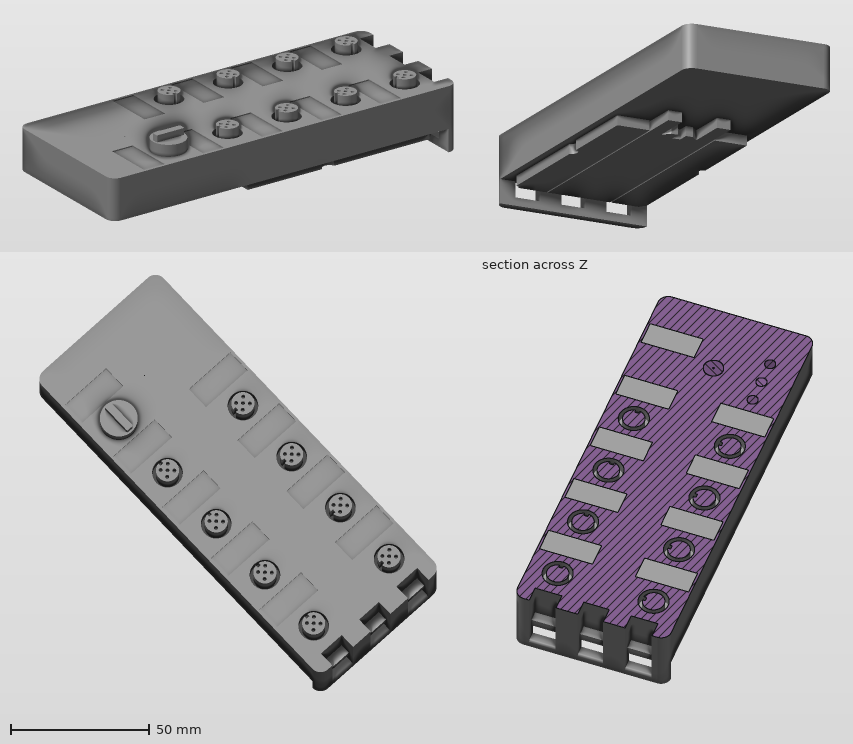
import cadquery as cq


length = 152.0
width = 59.6
height = 16.9
overall_height = 33.6
corner_radius = 4.0
flange_drop = 9.3
flange_thickness = corner_radius
end_y = length / 2

column_x = 18.5
first_row_y = 60.5
row_pitch = 26.0
socket_rows = 4
socket_ys = [first_row_y - row * row_pitch for row in range(socket_rows)]
knob_y = first_row_y - socket_rows * row_pitch

socket_diameter = 8.4
moat_diameter = 11.1
moat_depth = 4.5
socket_rise = 3.3
contact_diameter = 1.45
contact_spacing = 3.5
contact_offset = contact_spacing / 2
contact_depth = 3.0
key_width = 1.4
key_inner_radius = 3.0

label_length = 20.4
label_width = 9.1
label_depth = 0.5
label_drop = 13.2

knob_diameter = 13.7
knob_height = 4.7
grip_width = 2.9
grip_length = 12.2
grip_height = overall_height - flange_drop - height - knob_height
grip_corner_radius = 0.5

light_diameter = 3.8
light_pitch = 9.0
light_middle_y = -49.9
light_count = 3
disc_diameter = 7.1
inlay_depth = 1.5
disc_dot_diameter = 0.5
light_ys = [light_middle_y + (i - (light_count - 1) / 2) * light_pitch for i in range(light_count)]

side_notch_width = 10.2
middle_notch_width = 9.7
notch_length = 6.1
lip_length = 2.3
lip_round_radius = 0.9
crest_z = -6.1
shelf_z = 3.0
shelf_sag = 0.5
notches = [
    (-column_x, side_notch_width),
    (0.0, middle_notch_width),
    (column_x, side_notch_width),
]

pad_height = 3.8
pad_end_y = 68.0
side_pad_inner_x = 13.2
side_pad_outer_x = 26.3
side_pad_start_y = -14.0
scallop_radius = 2.7
scallop_outset = 0.8
scallop_ys = (21.5, 68.7)
middle_pad_half_width = 12.6
leg_inner_x = 7.1
leg_start_y = -27.7
nose_half_width = 4.4
nose_start_y = side_pad_start_y
nose_slot_width = 3.2
nose_slot_length = 4.5


def box(x_range, y_range, z_range):
    """Box between two limits on each axis."""
    (x0, x1), (y0, y1), (z0, z1) = x_range, y_range, z_range
    return cq.Workplane("XY").box(x1 - x0, y1 - y0, z1 - z0, centered=False).translate((x0, y0, z0))


def cylinder(diameter, x, y, z_bottom, z_top):
    """Upright cylinder between two heights."""
    disc = cq.Workplane("XY", origin=(x, y, z_bottom)).circle(diameter / 2)
    return disc.extrude(z_top - z_bottom)


def rounded_slab(z_bottom, z_top):
    """Full outline of the housing with rounded vertical corners."""
    slab = cq.Workplane("XY", origin=(0, 0, z_bottom)).rect(width, length).extrude(z_top - z_bottom)
    return slab.edges("|Z").fillet(corner_radius)


def make_flange():
    """Strip of the housing outline that hangs down at the +Y end."""
    strip = box((-width, width), (end_y - flange_thickness, end_y), (-flange_drop, 0))
    return rounded_slab(-flange_drop, height).intersect(strip)


def make_notch(x, notch_width):
    """Cutter for one end notch: rounded flange crest, and a hollowed shelf behind it."""
    half = notch_width / 2
    lip_y = end_y - lip_length
    deep_y = end_y - notch_length
    lip = (
        cq.Workplane("YZ", origin=(x - half, 0, 0))
        .moveTo(lip_y, crest_z)
        .lineTo(end_y - lip_round_radius, crest_z)
        .radiusArc((end_y, crest_z - lip_round_radius), lip_round_radius)
        .lineTo(end_y, height)
        .lineTo(lip_y, height)
        .close()
        .extrude(notch_width)
    )
    shelf = (
        cq.Workplane("YZ", origin=(x - half, 0, 0))
        .moveTo(deep_y, shelf_z)
        .threePointArc(((deep_y + lip_y) / 2, shelf_z - shelf_sag), (lip_y, shelf_z))
        .lineTo(lip_y, height)
        .lineTo(deep_y, height)
        .close()
        .extrude(notch_width)
    )
    window = box((x - half, x + half), (end_y - flange_thickness, lip_y), (crest_z, 0))
    return lip.union(shelf).union(window)


def make_side_pad():
    """Foot pad on the +X side, with scallops in its outer edge."""
    pad = box((side_pad_inner_x, side_pad_outer_x), (side_pad_start_y, pad_end_y), (-pad_height, 0))
    for y in scallop_ys:
        x = side_pad_outer_x + scallop_outset
        pad = pad.cut(cylinder(2 * scallop_radius, x, y, -pad_height, 0))
    return pad


def make_middle_pad():
    """Middle foot pad: two legs with a bevelled, slotted nose set back between them."""
    web_y = nose_start_y + leg_inner_x - nose_half_width
    right_half = [
        (nose_half_width, nose_start_y),
        (leg_inner_x, web_y),
        (leg_inner_x, leg_start_y),
        (middle_pad_half_width, leg_start_y),
        (middle_pad_half_width, pad_end_y),
    ]
    left_half = [(-x, y) for x, y in reversed(right_half)]
    pad = cq.Workplane("XY").polyline(right_half + left_half).close().extrude(-pad_height)
    slot_x = nose_slot_width / 2
    slot = box((-slot_x, slot_x), (nose_start_y, nose_start_y + nose_slot_length), (-pad_height, 0))
    return pad.cut(slot)


def make_socket(x, y, key_angle):
    """Round five-contact socket with its key groove facing key_angle degrees from +X."""
    base_z = height - moat_depth
    top_z = height + socket_rise
    socket = cylinder(socket_diameter, x, y, base_z, top_z)
    contacts = [(0, 0)]
    contacts += [(i * contact_offset, j * contact_offset) for i in (-1, 1) for j in (-1, 1)]
    for dx, dy in contacts:
        socket = socket.cut(cylinder(contact_diameter, x + dx, y + dy, top_z - contact_depth, top_z))
    key_groove = box(
        (x + key_inner_radius, x + socket_diameter),
        (y - key_width / 2, y + key_width / 2),
        (base_z, top_z),
    )
    return socket.cut(key_groove.rotate((x, y, 0), (x, y, 1), key_angle))


def make_knob():
    """Round knob with a rounded grip bar across its top."""
    knob_top = height + knob_height
    grip = (
        cq.Workplane("XY", origin=(column_x, knob_y, knob_top))
        .rect(grip_width, grip_length)
        .extrude(grip_height)
        .edges("|Z")
        .fillet(grip_corner_radius)
    )
    return cylinder(knob_diameter, column_x, knob_y, height, knob_top).union(grip)


def make_label_recess(x, row_y):
    """Cutter for the shallow label recess below one row of the grid."""
    y = row_y - label_drop
    return box(
        (x - label_length / 2, x + label_length / 2),
        (y - label_width / 2, y + label_width / 2),
        (height - label_depth, height),
    )


def make_inlay(diameter, x, y):
    """Plain disc set flush into the face."""
    return cylinder(diameter, x, y, height - inlay_depth, height)


def make_light(y):
    """Indicator light in the -X column."""
    return make_inlay(light_diameter, -column_x, y)


def make_push_disc():
    """Flush disc on the centreline with a tiny dot pierced at its middle."""
    disc = make_inlay(disc_diameter, 0, light_middle_y)
    return disc.cut(make_inlay(disc_dot_diameter, 0, light_middle_y))


def make_housing():
    """Block, flange, foot pads, sockets and knob, with all recesses cut."""
    housing = rounded_slab(0, height).union(make_flange())
    for x, notch_width in notches:
        housing = housing.cut(make_notch(x, notch_width))

    side_pad = make_side_pad()
    housing = housing.union(side_pad).union(side_pad.mirror("YZ")).union(make_middle_pad())

    for x, key_angle in ((-column_x, 0), (column_x, -90)):
        for y in socket_ys:
            housing = housing.cut(cylinder(moat_diameter, x, y, height - moat_depth, height))
            housing = housing.union(make_socket(x, y, key_angle))
            housing = housing.cut(make_label_recess(x, y))

    housing = housing.cut(make_label_recess(column_x, knob_y)).union(make_knob())

    for y in light_ys:
        housing = housing.cut(make_light(y))
    return housing.cut(make_inlay(disc_diameter, 0, light_middle_y))


housing = make_housing()
push_disc = make_push_disc()
lights = [make_light(y) for y in light_ys]

result = cq.Compound.makeCompound([housing.val(), push_disc.val(), *[light.val() for light in lights]])